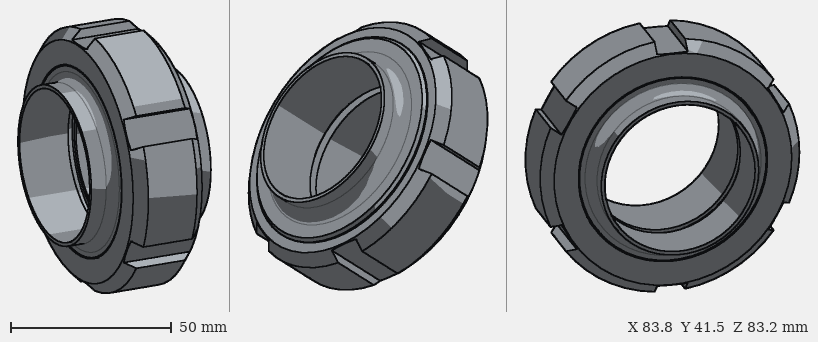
import cadquery as cq

total_length = 41.5
bore_radius = 48.5 / 2

nut_radius = 41.9
nut_front = 8.0
nut_back = 32.0
nut_chamfer = 3.5
nut_mouth_radius = 61.0 / 2
thread_radius = 66.3 / 2
lip_thickness = 4.6
slot_count = 6
slot_width = 9.9
slot_floor = 38.5
lip_back = nut_front + lip_thickness

liner_tube_radius = 50.8 / 2
liner_fillet = 3.0
liner_straight_length = 5.1
liner_neck_radius = 60.3 / 2
liner_collar_radius = 65.0 / 2
liner_collar_thickness = 4.2
liner_shoulder = liner_straight_length + liner_fillet
joint_position = lip_back + liner_collar_thickness

threaded_tube_radius = 51.0 / 2
threaded_fillet = 4.0
flange_radius = 70.0 / 2
flange_back = 33.5
flange_chamfer = 1.0

groove_width = 2.8
groove_depth = 3.5
groove_lip_radius = 51.0 / 2
groove_undercut = 0.4

ARC_MIDPOINT = 0.5 ** 0.5


def axial_profile():
    """Sketch plane for (radius, axial position) profiles."""
    return cq.Workplane("XY", origin=(0, -total_length / 2, 0))


def revolve_about_axis(profile):
    return profile.close().revolve(360, (0, 0), (0, 1))


def make_nut():
    profile = (
        axial_profile()
        .moveTo(nut_mouth_radius, nut_front)
        .lineTo(nut_radius - nut_chamfer, nut_front)
        .lineTo(nut_radius, nut_front + nut_chamfer)
        .lineTo(nut_radius, nut_back - nut_chamfer)
        .lineTo(nut_radius - nut_chamfer, nut_back)
        .lineTo(thread_radius, nut_back)
        .lineTo(thread_radius, lip_back)
        .lineTo(nut_mouth_radius, lip_back)
    )
    nut = revolve_about_axis(profile)
    slot = cq.Workplane("XY").box(
        slot_width, total_length, nut_radius, centered=(True, True, False)
    ).translate((0, 0, slot_floor))
    for index in range(slot_count):
        nut = nut.cut(slot.rotate((0, 0, 0), (0, 1, 0), index * 360 / slot_count))
    return nut


def make_liner():
    fillet_middle = (
        liner_tube_radius + liner_fillet * (1 - ARC_MIDPOINT),
        liner_straight_length + liner_fillet * ARC_MIDPOINT,
    )
    profile = (
        axial_profile()
        .moveTo(bore_radius, 0)
        .lineTo(liner_tube_radius, 0)
        .lineTo(liner_tube_radius, liner_straight_length)
        .threePointArc(fillet_middle, (liner_tube_radius + liner_fillet, liner_shoulder))
        .lineTo(liner_neck_radius, liner_shoulder)
        .lineTo(liner_neck_radius, lip_back)
        .lineTo(liner_collar_radius, lip_back)
        .lineTo(liner_collar_radius, joint_position)
        .lineTo(bore_radius, joint_position)
    )
    return revolve_about_axis(profile)


def make_threaded_half():
    fillet_end = flange_back + threaded_fillet
    fillet_middle = (
        threaded_tube_radius + threaded_fillet * (1 - ARC_MIDPOINT),
        fillet_end - threaded_fillet * ARC_MIDPOINT,
    )
    groove_end = joint_position + groove_width
    undercut_end = groove_end + groove_undercut
    profile = (
        axial_profile()
        .moveTo(bore_radius + groove_depth, joint_position)
        .lineTo(thread_radius, joint_position)
        .lineTo(thread_radius, nut_back)
        .lineTo(flange_radius, nut_back)
        .lineTo(flange_radius, flange_back - flange_chamfer)
        .lineTo(flange_radius - flange_chamfer, flange_back)
        .lineTo(threaded_tube_radius + threaded_fillet, flange_back)
        .threePointArc(fillet_middle, (threaded_tube_radius, fillet_end))
        .lineTo(threaded_tube_radius, total_length)
        .lineTo(bore_radius, total_length)
        .lineTo(bore_radius, groove_end)
        .lineTo(groove_lip_radius, groove_end)
        .lineTo(groove_lip_radius, undercut_end)
        .lineTo(bore_radius + groove_depth, undercut_end)
    )
    return revolve_about_axis(profile)


nut = make_nut()
liner = make_liner()
threaded_half = make_threaded_half()

result = cq.Compound.makeCompound([nut.val(), liner.val(), threaded_half.val()])